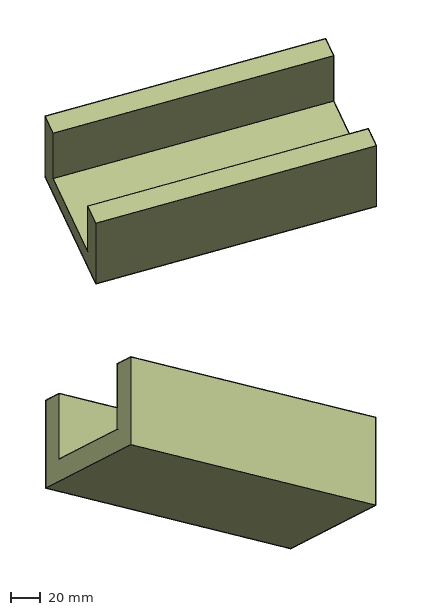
import cadquery as cq

width = 100.0
length = 200.0
height = 63.0
wall_thickness = 16.0

channel_width = width - 2 * wall_thickness
channel_depth = height - wall_thickness


def make_block():
    """Solid block centred on X and Y, resting on Z = 0."""
    return cq.Workplane("XY").box(width, length, height, centered=(True, True, False))


def make_channel():
    """Volume of the open-topped channel running the full length along Y."""
    return (
        cq.Workplane("XY")
        .workplane(offset=wall_thickness)
        .box(channel_width, length, channel_depth, centered=(True, True, False))
    )


result = make_block().cut(make_channel())